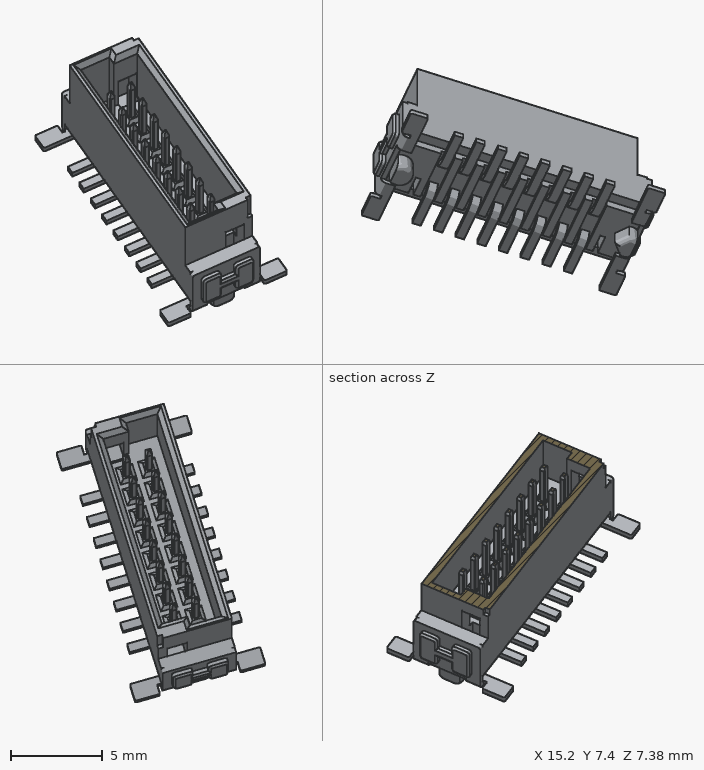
import cadquery as cq
import math


pitch = 1.26
columns = 8
row_y = pitch / 2

body_width_y = 4.19
body_half_y = body_width_y / 2
tower_half_x = 6.43
end_half_x = 7.28
end_plate_thickness = 0.29
inner_half_x = end_half_x - end_plate_thickness
tower_top_z = 6.63
shoulder_z = 3.29
shoulder_round = 0.15
body_bottom_z = 0.29
corner_notch_x = 0.2
corner_notch_y = 0.29
corner_notch_depth = 1.58

recess_top_z = 0.8
recess_depth = 0.53
channel_width = 0.81
channel_top_z = 0.52

cavity_half_x = 6.05
cavity_narrow_half_x = 5.53
cavity_half_y = 1.62
cavity_step_y = 0.17
cavity_floor_z = 2.59
rim_chamfer = 0.29

window_y_min = 0.44
window_y_max = 1.58
window_top_z = 4.62
window_bottom_z = 1.98
window_inner_x = 5.25

lead_thickness = 0.34
lead_width = 0.5
lead_tip_y = 3.19
lead_bend_radius = 0.91
pin_width = 0.4
pin_corner = 0.06
pin_tip_z = 5.62
pin_tip_length = 0.41
pin_tip_width = 0.08
pedestal_x = 0.99
pedestal_y = 0.95
pedestal_height = 0.21

foot_inner_x = tower_half_x
foot_outer_x = 7.44
foot_neck_x = 6.89
foot_tip_y = 3.7
foot_shoulder_y = 2.29
foot_root_y = 1.19
foot_corner = 0.09
strip_round = 0.32

peg_x = 6.65
peg_radius = 0.73
peg_bottom_z = -0.75
peg_round = 0.3
wedge_offset = 0.15

boss_outer_x = 7.62
boss_half_y = 1.57
boss_bottom_z = 0.81
boss_top_z = 2.82
boss_leg_width = 1.13
boss_bar_height = 0.61
boss_corner = 0.23
boss_chamfer = 0.12


def block(x_min, x_max, y_min, y_max, z_min, z_max):
    size = (x_max - x_min, y_max - y_min, z_max - z_min)
    return cq.Workplane("XY").box(*size, centered=False).translate((x_min, y_min, z_min))


def centred_block(half_x, half_y, z_min, z_max):
    return block(-half_x, half_x, -half_y, half_y, z_min, z_max)


def both_ends(shape):
    return shape.union(shape.mirror("YZ"))


def both_sides(shape):
    return shape.union(shape.mirror("XZ"))


def cavity_section(growth):
    """Closed T-shaped cavity outline, moved outward by growth."""
    wide = cavity_half_x + growth
    narrow = cavity_narrow_half_x + growth
    side = cavity_half_y + growth
    step = cavity_step_y + growth
    return [
        (-wide, -side), (wide, -side), (wide, step), (narrow, step),
        (narrow, side), (-narrow, side), (-narrow, step), (-wide, step),
    ]


def make_cavity():
    chamfer_z = tower_top_z - rim_chamfer
    shaft = cq.Workplane("XY").workplane(offset=cavity_floor_z).polyline(cavity_section(0)).close()
    shaft = shaft.extrude(tower_top_z - cavity_floor_z)
    mouth = cq.Workplane("XY").workplane(offset=chamfer_z).polyline(cavity_section(0)).close()
    mouth = mouth.workplane(offset=rim_chamfer).polyline(cavity_section(rim_chamfer)).close()
    return shaft.union(mouth.loft(ruled=True))


def make_housing():
    tower = centred_block(tower_half_x, body_half_y, body_bottom_z, tower_top_z)
    base = centred_block(inner_half_x, body_half_y, body_bottom_z, shoulder_z)
    plate = block(-end_half_x, -inner_half_x, -body_half_y, body_half_y, lead_thickness, shoulder_z)
    plate = plate.edges("|X and >Z").fillet(shoulder_round)
    housing = tower.union(base).union(both_ends(plate))

    recess = block(
        -inner_half_x, inner_half_x, -body_half_y, recess_depth - body_half_y, body_bottom_z, recess_top_z
    )
    corner_notch = block(
        -tower_half_x, corner_notch_x - tower_half_x, body_half_y - corner_notch_y, body_half_y,
        tower_top_z - corner_notch_depth, tower_top_z,
    )
    window = block(
        -tower_half_x, -window_inner_x, window_y_min, window_y_max, window_bottom_z, window_top_z
    )
    core_slot = block(
        -cavity_narrow_half_x, -window_inner_x, window_y_min, window_y_max, body_bottom_z, window_top_z
    )
    housing = housing.cut(both_sides(recess)).cut(make_cavity())
    return housing.cut(both_ends(corner_notch.union(window).union(core_slot)))


def make_lead_channel():
    """Open channel across the underside, giving clearance around one pair of leads."""
    return centred_block(channel_width / 2, body_half_y, body_bottom_z, channel_top_z)


def make_lead():
    """Lead of the -Y row: a flat tail bent up into the housing."""
    outer = lead_bend_radius
    inner = outer - lead_thickness
    centre_y = row_y - lead_thickness / 2 + outer
    diagonal = math.sqrt(0.5)
    profile = (
        cq.Workplane("YZ")
        .moveTo(-lead_tip_y, 0)
        .lineTo(-centre_y, 0)
        .threePointArc((-centre_y + outer * diagonal, outer - outer * diagonal), (-centre_y + outer, outer))
        .lineTo(-centre_y + inner, outer)
        .threePointArc((-centre_y + inner * diagonal, outer - inner * diagonal), (-centre_y, lead_thickness))
        .lineTo(-lead_tip_y, lead_thickness)
        .close()
    )
    return profile.extrude(lead_width / 2, both=True)


def make_pin():
    """Pin with bevelled corners and a pyramid tip, on a raised pedestal."""
    tip_base_z = pin_tip_z - pin_tip_length
    pin = centred_block(pin_width / 2, lead_thickness / 2, cavity_floor_z, pin_tip_z)
    pin = pin.edges("|Z").chamfer(pin_corner)
    tip = cq.Workplane("XY").workplane(offset=tip_base_z).rect(pin_width, lead_thickness)
    tip = tip.workplane(offset=pin_tip_length).rect(pin_tip_width, pin_tip_width).loft(ruled=True)
    shank = centred_block(pin_width / 2, lead_thickness / 2, cavity_floor_z, tip_base_z)
    pedestal = cq.Workplane("XY").workplane(offset=cavity_floor_z).rect(pedestal_x, pedestal_y)
    pedestal = pedestal.extrude(pedestal_height, taper=45)
    return pin.intersect(shank.union(tip)).union(pedestal)


def make_foot():
    """Hold-down foot at the -X, -Y corner."""
    pad = block(-foot_outer_x, -foot_inner_x, -foot_tip_y, -foot_shoulder_y, 0, lead_thickness)
    pad = pad.edges("|Z and <X").fillet(foot_corner)
    pad = pad.edges("|Z and >X and <Y").fillet(foot_corner)
    neck = block(-foot_neck_x, -foot_inner_x, -foot_shoulder_y, -body_half_y, 0, lead_thickness)
    strip = block(-end_half_x, -foot_inner_x, -body_half_y, -foot_root_y, 0, lead_thickness)
    strip = strip.edges("<X and <Z").fillet(strip_round)
    return pad.union(neck).union(strip)


def trim_peg(profile):
    """Extrude a peg outline, round its lower end and cut its outer side flat."""
    peg = profile.extrude(recess_top_z - peg_bottom_z).faces("<Z").edges().fillet(peg_round)
    flat_x = inner_half_x - peg_x
    return peg.intersect(block(-peg_radius, flat_x, -peg_radius, peg_radius, peg_bottom_z, recess_top_z))


def make_pegs():
    """Round peg at the -X end, wedge-shaped peg at the +X end."""
    base = cq.Workplane("XY").workplane(offset=peg_bottom_z)
    round_peg = trim_peg(base.circle(peg_radius)).mirror("YZ")
    flat_y = math.sqrt(peg_radius ** 2 - wedge_offset ** 2)
    wedge = (
        base.moveTo(-wedge_offset, -flat_y)
        .threePointArc((peg_radius, 0), (-wedge_offset, flat_y))
        .lineTo(-peg_radius, 0)
        .close()
    )
    return round_peg.translate((-peg_x, 0, 0)).union(trim_peg(wedge).translate((peg_x, 0, 0)))


def make_boss():
    boss_x = (-boss_outer_x, -end_half_x)
    bar_bottom_z = (boss_bottom_z + boss_top_z - boss_bar_height) / 2
    leg = block(*boss_x, -boss_half_y, boss_leg_width - boss_half_y, boss_bottom_z, boss_top_z)
    leg = leg.edges("|X").fillet(boss_corner)
    bar_half_y = boss_half_y - boss_leg_width / 2
    bar = block(*boss_x, -bar_half_y, bar_half_y, bar_bottom_z, bar_bottom_z + boss_bar_height)
    return both_sides(leg).union(bar).faces("<X").edges().chamfer(boss_chamfer)


housing = make_housing()
lead_channel = make_lead_channel()
lead_pair = both_sides(make_lead())
pin = make_pin()
pin_pair = both_sides(pin.translate((0, row_y, 0)))

column_places = [(pitch * (i - (columns - 1) / 2), 0, 0) for i in range(columns)]
for place in column_places:
    housing = housing.cut(lead_channel.translate(place))
for place in column_places:
    housing = housing.union(lead_pair.translate(place)).union(pin_pair.translate(place))

result = (
    housing.union(both_ends(both_sides(make_foot())))
    .union(make_pegs())
    .union(both_ends(make_boss()))
)